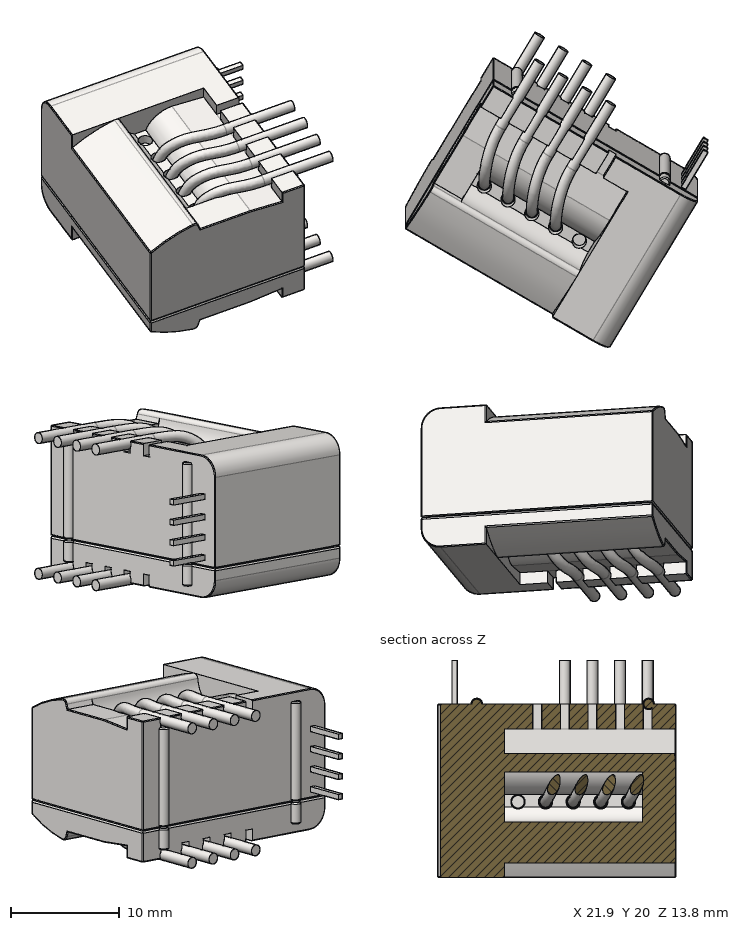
import cadquery as cq
import math

LENGTH = 21.9
DEPTH = 16.0
HALF_HEIGHT = 6.68
CORNER_RADIUS = 1.85
EDGE_BREAK = 0.09

RECESS_LEFT = 6.15
BEVEL_FOOT = 5.05
BEVEL_RADIUS = 13.15
LIP_FRONT = 4.43
LIP_RADIUS = 0.53
LIP_FRONT_SLOPE = math.radians(10)
LIP_BACK_SLOPE = math.radians(77)
SHELF_HEIGHT = 5.8
SHELF_FRONT = 5.2
FORMER_TOP = 10.39
SHELF_BACK_HEIGHT = 5.55
COMB_FRONT = 13.67

WINDOW_RIGHT = 18.85
WINDOW_FLOOR = 3.97
FLOOR_FRONT = 6.5
FLOOR_BACK = 7.67
WINDOW_WALL_RADIUS = 3.07

WIRE_COUNT = 4
WIRE_DIAMETER = 1.03
WIRE_TOP = 6.88
WIRE_HEIGHT = WIRE_TOP - WIRE_DIAMETER / 2
WIRE_END = 20.0
WIRE_PITCH = 2.55
FIRST_SLOT_X = 9.15
SLOT_COUNT = WIRE_COUNT + 1
SLOT_WIDTH = 0.79
WIRE_SHIFT = 1.77
SHIFT_START = 12.93
WIRE_HOLE_Y = 7.0
WIRE_HOLE_DIAMETER = 1.31
WIRE_HOLE_DEPTH = 0.88
HOLE_OVERRUN = 0.44
WIRE_HOLE_TAPER = 5.0
LEVEL_STEPS = 2
CURVE_STEPS = 6

GROOVE_TOP = -3.6
GROOVE_BOTTOM = -3.75
GROOVE_DEPTH = 0.4
GROOVE_CORNER_RADIUS = 0.22
GROOVE_CHAMFER_HEIGHT = 0.18
GROOVE_CHAMFER_WIDTH = 0.09

RIB_RADIUS = 0.53
RIB_HALF_HEIGHT = 5.78
RIB_CHAMFER = 0.13
RIB_POSITIONS = (3.6, 19.41)

PIN_COUNT = 4
PIN_SIZE = 0.5
PIN_X = 1.55
PIN_PITCH = 1.9


def both_sides(shape):
    """The shape together with its mirror image below the XY plane."""
    return shape.union(shape.mirror("XY"))


def block():
    return (
        cq.Workplane("XY")
        .box(LENGTH, DEPTH, 2 * HALF_HEIGHT, centered=False)
        .translate((0, 0, -HALF_HEIGHT))
        .edges("|Y and <X")
        .fillet(CORNER_RADIUS)
    )


LIP_CENTRE_Y = LIP_FRONT + LIP_RADIUS * math.sin(LIP_FRONT_SLOPE)
LIP_CENTRE_Z = HALF_HEIGHT - LIP_RADIUS


def lip_point(slope):
    """Point of the lip round where it falls backwards at the given slope."""
    return (LIP_CENTRE_Y + LIP_RADIUS * math.sin(slope), LIP_CENTRE_Z + LIP_RADIUS * math.cos(slope))


LIP_START = lip_point(-LIP_FRONT_SLOPE)
LIP_END = lip_point(LIP_BACK_SLOPE)


def window_cut():
    """Deep window between the lip and the rounded winding former."""
    drop = SHELF_HEIGHT - WINDOW_FLOOR
    run = FORMER_TOP - FLOOR_BACK
    former_radius = (run**2 + drop**2) / (2 * drop)
    return (
        cq.Workplane("YZ", origin=(RECESS_LEFT, 0, 0))
        .moveTo(*LIP_END)
        .radiusArc((FLOOR_FRONT, WINDOW_FLOOR), -WINDOW_WALL_RADIUS)
        .lineTo(FLOOR_BACK, WINDOW_FLOOR)
        .radiusArc((FORMER_TOP, SHELF_HEIGHT), former_radius)
        .lineTo(FORMER_TOP, LIP_END[1])
        .close()
        .extrude(WINDOW_RIGHT - RECESS_LEFT)
    )


def shelf_cut():
    """Shallow recess above the bevel, the lip, the shelf and up to the comb wall."""
    above = HALF_HEIGHT + 0.22
    return (
        cq.Workplane("YZ", origin=(RECESS_LEFT, 0, 0))
        .moveTo(0, BEVEL_FOOT)
        .radiusArc(LIP_START, BEVEL_RADIUS)
        .threePointArc(lip_point(LIP_BACK_SLOPE / 2), LIP_END)
        .lineTo(SHELF_FRONT, SHELF_HEIGHT)
        .lineTo(FORMER_TOP, SHELF_HEIGHT)
        .lineTo(COMB_FRONT, SHELF_BACK_HEIGHT)
        .lineTo(COMB_FRONT, above)
        .lineTo(0, above)
        .close()
        .extrude(LENGTH - RECESS_LEFT)
    )


def slot_x(index):
    return FIRST_SLOT_X + index * WIRE_PITCH


def comb_slots():
    """Square slots through the comb wall down to the back of the shelf."""
    centres = [(slot_x(i), (COMB_FRONT + DEPTH) / 2) for i in range(SLOT_COUNT)]
    return (
        cq.Workplane("XY", origin=(0, 0, SHELF_BACK_HEIGHT))
        .pushPoints(centres)
        .rect(SLOT_WIDTH, DEPTH - COMB_FRONT)
        .extrude(HALF_HEIGHT - SHELF_BACK_HEIGHT)
    )


def wire_holes():
    """Blind tapered clearance holes in the window floor, which nick the foot of the former."""
    centres = [(slot_x(i) - WIRE_SHIFT, WIRE_HOLE_Y) for i in range(SLOT_COUNT)]
    taper = math.tan(math.radians(WIRE_HOLE_TAPER))
    bottom_radius = WIRE_HOLE_DIAMETER / 2 - WIRE_HOLE_DEPTH * taper
    return (
        cq.Workplane("XY", origin=(0, 0, WINDOW_FLOOR - WIRE_HOLE_DEPTH))
        .pushPoints(centres)
        .circle(bottom_radius)
        .extrude(WIRE_HOLE_DEPTH + HOLE_OVERRUN, taper=-WIRE_HOLE_TAPER)
    )


def rib(x, bottom, top):
    """Half-round upright rib on the rear face, chamfered at both ends."""
    return (
        cq.Workplane("XY", origin=(x, DEPTH, bottom))
        .circle(RIB_RADIUS)
        .extrude(top - bottom)
        .faces("<Z or >Z")
        .chamfer(RIB_CHAMFER)
    )


def groove_cut():
    """Groove all round the block, with a chamfer on its lower edge, leaving a rounded core."""
    height = GROOVE_TOP - GROOVE_BOTTOM
    core = (
        centred_plane(GROOVE_BOTTOM)
        .rect(LENGTH - 2 * GROOVE_DEPTH, DEPTH - 2 * GROOVE_DEPTH)
        .extrude(height)
        .edges("|Z")
        .fillet(GROOVE_CORNER_RADIUS)
    )
    taper = math.degrees(math.atan2(GROOVE_CHAMFER_WIDTH, GROOVE_CHAMFER_HEIGHT))
    chamfered_edge = (
        centred_plane(GROOVE_BOTTOM - GROOVE_CHAMFER_HEIGHT)
        .rect(LENGTH, DEPTH)
        .extrude(GROOVE_CHAMFER_HEIGHT, taper=taper)
    )
    band = (
        centred_plane(GROOVE_BOTTOM - GROOVE_CHAMFER_HEIGHT)
        .rect(2 * LENGTH, 2 * DEPTH)
        .extrude(GROOVE_CHAMFER_HEIGHT + height)
    )
    return band.cut(core).cut(chamfered_edge)


def centred_plane(height):
    return cq.Workplane("XY", origin=(LENGTH / 2, DEPTH / 2, height))


def make_housing():
    body = block().cut(both_sides(shelf_cut()))
    body = body.faces("<Y or >Y or >X").edges().chamfer(EDGE_BREAK)
    body = body.cut(both_sides(window_cut()))
    body = body.cut(both_sides(comb_slots())).cut(both_sides(wire_holes()))
    body = body.cut(groove_cut())
    for x in RIB_POSITIONS:
        body = body.union(rib(x, GROOVE_TOP, RIB_HALF_HEIGHT))
        body = body.union(rib(x, -RIB_HALF_HEIGHT, GROOVE_BOTTOM))
    return body


def make_wire(index):
    """U-shaped wire: straight ends in the comb, both bent inwards to one upright leg."""
    x_slot = slot_x(index)
    x_hole = x_slot - WIRE_SHIFT
    bend_radius = FORMER_TOP - WIRE_HOLE_Y
    swing = SHIFT_START - WIRE_HOLE_Y

    def level_point(y):
        return curve_point(y, WIRE_HEIGHT)

    def falling_point(angle):
        drop = bend_radius * (1 - math.cos(angle))
        return curve_point(FORMER_TOP - bend_radius * math.sin(angle), WIRE_HEIGHT - drop)

    def curve_point(y, z):
        return cq.Vector(x_slot - WIRE_SHIFT * ((SHIFT_START - y) / swing) ** 2, y, z)

    level_step = (SHIFT_START - FORMER_TOP) / LEVEL_STEPS
    curve = [level_point(SHIFT_START - level_step * i) for i in range(LEVEL_STEPS)]
    curve += [falling_point(math.pi / 2 * i / CURVE_STEPS) for i in range(CURVE_STEPS + 1)]
    straight = cq.Edge.makeLine(cq.Vector(x_slot, WIRE_END, WIRE_HEIGHT), curve[0])
    bend = cq.Edge.makeSpline(curve, tangents=[cq.Vector(0, -1, 0), cq.Vector(0, 0, -1)])
    leg = cq.Edge.makeLine(curve[-1], cq.Vector(x_hole, WIRE_HOLE_Y, 0))
    path = cq.Workplane(cq.Wire.assembleEdges([straight, bend, leg]))
    half = (
        cq.Workplane("XZ", origin=(x_slot, WIRE_END, WIRE_HEIGHT))
        .circle(WIRE_DIAMETER / 2)
        .sweep(path)
    )
    return both_sides(half)


def make_pin(index):
    """Square pin standing on the rear face."""
    z = (index - (PIN_COUNT - 1) / 2) * PIN_PITCH
    return (
        cq.Workplane("XZ", origin=(PIN_X, DEPTH, z))
        .rect(PIN_SIZE, PIN_SIZE)
        .extrude(DEPTH - WIRE_END)
    )


wires = [make_wire(i) for i in range(1, SLOT_COUNT)]
pins = [make_pin(i) for i in range(PIN_COUNT)]

housing = make_housing()
for wire in wires:
    housing = housing.cut(wire)

result = cq.Compound.makeCompound(
    [housing.val(), *[wire.val() for wire in wires], *[pin.val() for pin in pins]]
)